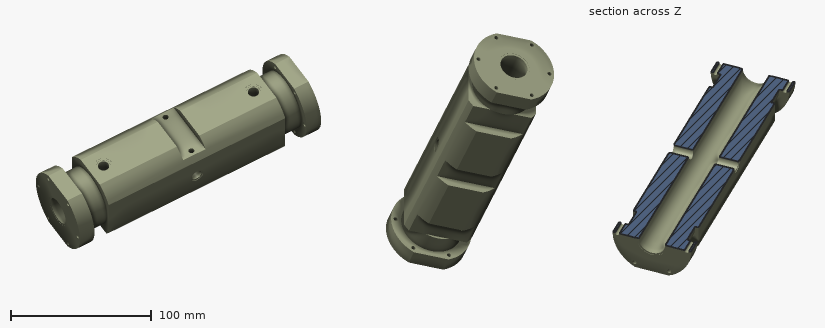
import cadquery as cq

length = 201.0
flange_diameter = 59.9
height = 54.0

flange_length = 12.0
neck_length = 14.9
neck_diameter = 45.0
body_length = length - 2 * (flange_length + neck_length)
body_width = 50.0

bore_diameter = 20.0
recess_diameter = 23.1
recess_depth = 0.2

bolt_hole_count = 6
bolt_hole_diameter = 3.0
bolt_circle_radius = 26.5

notch_depth = 6.2
middle_notch_length = 18.7
end_notch_length = 19.0

mount_hole_diameter = 4.2
mount_hole_depth = 6.0
mount_hole_spacing = 35.0

top_port_diameter = 8.0
top_port_seat_diameter = 10.0
top_port_mouth_diameter = 13.0
top_port_mouth_depth = 0.2
top_port_seat_depth = 0.5
top_port_spacing = 125.0
side_port_diameter = 8.0
side_port_mouth_diameter = 10.5
side_port_mouth_depth = 0.5


def rod(diameter, rod_length, y_center=0):
    """Cylinder along Y, centred at y_center."""
    start = y_center + rod_length / 2
    return cq.Workplane("XZ", origin=(0, start, 0)).circle(diameter / 2).extrude(rod_length)


def hole_down(diameter, depth):
    """Cylinder with its top on the XY plane, running downwards."""
    return cq.Workplane("XY").circle(diameter / 2).extrude(-depth)


def make_blank():
    """Two flatted flanges and a four-sided body joined by round necks."""
    flange_y = (length - flange_length) / 2
    blank = rod(neck_diameter, length)
    for side in (-1, 1):
        flange = rod(flange_diameter, flange_length, side * flange_y)
        blank = blank.union(flange.intersect(cq.Workplane().box(flange_diameter, length, height)))
    body = rod(flange_diameter, body_length)
    return blank.union(body.intersect(cq.Workplane().box(body_width, length, height)))


def cut_notches(part):
    """Middle notches above and below, and a notch under each end of the body."""
    notch_z = (height - notch_depth) / 2
    middle = cq.Workplane().box(flange_diameter, middle_notch_length, notch_depth)
    part = part.cut(middle.translate((0, 0, notch_z)))
    part = part.cut(middle.translate((0, 0, -notch_z)))

    end = cq.Workplane().box(flange_diameter, end_notch_length, notch_depth)
    end_y = (body_length - end_notch_length) / 2
    for side in (-1, 1):
        part = part.cut(end.translate((0, side * end_y, -notch_z)))
    return part


def cut_bore(part):
    """Through bore and its end recesses."""
    part = part.cut(rod(bore_diameter, length))
    for side in (-1, 1):
        part = part.cut(rod(recess_diameter, recess_depth, side * (length - recess_depth) / 2))
    return part


def cut_bolt_holes(part):
    """Ring of through holes in both flanges, starting on the X axis."""
    for end_y in (length / 2, flange_length - length / 2):
        holes = (
            cq.Workplane("XZ", origin=(0, end_y, 0))
            .polarArray(bolt_circle_radius, 0, 360, bolt_hole_count)
            .circle(bolt_hole_diameter / 2)
            .extrude(flange_length)
        )
        part = part.cut(holes)
    return part


def cut_mount_holes(part):
    """Pair of blind holes in the floor of the upper notch."""
    hole = hole_down(mount_hole_diameter, mount_hole_depth)
    for side in (-1, 1):
        part = part.cut(hole.translate((side * mount_hole_spacing / 2, 0, height / 2 - notch_depth)))
    return part


def cut_ports(part):
    """Two stepped top ports and a counterbored cross port through both sides."""
    top_port = (
        hole_down(top_port_diameter, height / 2)
        .union(hole_down(top_port_seat_diameter, top_port_seat_depth))
        .union(hole_down(top_port_mouth_diameter, top_port_mouth_depth))
    )
    for side in (-1, 1):
        part = part.cut(top_port.translate((0, side * top_port_spacing / 2, height / 2)))

    side_port = hole_down(side_port_diameter, body_width / 2).union(
        hole_down(side_port_mouth_diameter, side_port_mouth_depth))
    side_port = side_port.translate((0, 0, body_width / 2))
    for angle in (-90, 90):
        part = part.cut(side_port.rotate((0, 0, 0), (0, 1, 0), angle))
    return part


result = cut_notches(make_blank())
result = cut_bore(result)
result = cut_bolt_holes(result)
result = cut_mount_holes(result)
result = cut_ports(result)